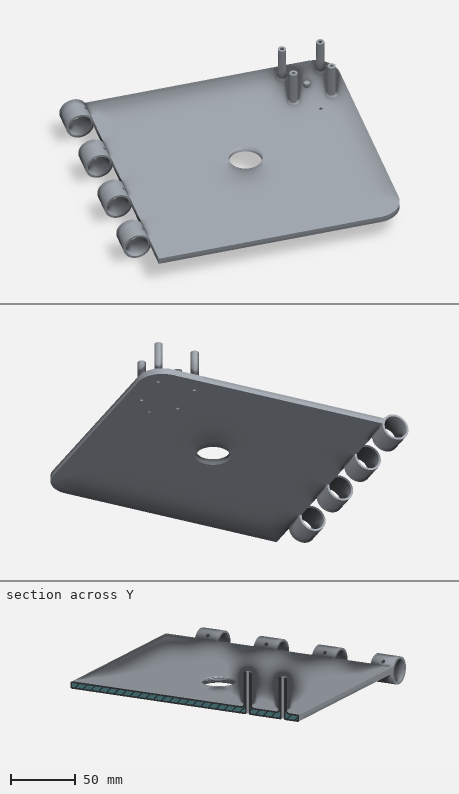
import cadquery as cq

plate_size = 200.0
plate_thickness = 5.0
corner_radius = 20.0

knuckle_outer_diameter = 22.0
knuckle_bore_diameter = 18.5
knuckle_length = 20.0
knuckle_pitch = 51.5
knuckle_count = 4
knuckle_reach = 20.8
knuckle_pin_hole_diameter = 3.3
pin_hole_angle = 44
knuckle_axis_y = knuckle_outer_diameter / 2 - knuckle_reach

plate_bottom = 0.5
plate_top = plate_bottom + plate_thickness

opening_root_diameter = 27.5
opening_crest_diameter = 26.0
groove_count = 5
groove_pitch = plate_thickness / groove_count

overall_height = 45.0
post_top = overall_height - knuckle_outer_diameter / 2
post_height = post_top - plate_top
post_diameter = 6.5
post_hole_diameter = 3.0
post_spacing = 31.0
post_edge_distance = 14.0
foot_diameter = 10.4
foot_height = 1.3

stud_diameter = 4.9
stud_height = 3.3
small_hole_diameter = 2.5
small_hole_x = 59.2
small_hole_back_distance = 27.0

grid_x = post_edge_distance + post_spacing / 2
grid_y = plate_size - grid_x
post_points = [
    (grid_x + side_x * post_spacing / 2, grid_y + side_y * post_spacing / 2)
    for side_x in (-1, 1)
    for side_y in (-1, 1)
]


def cylinder(x, y, bottom, diameter, height):
    """Upright cylinder."""
    return cq.Workplane("XY", origin=(x, y, bottom)).circle(diameter / 2).extrude(height)


def cone(x, y, bottom, bottom_diameter, top_diameter, height):
    """Upright truncated cone."""
    solid = cq.Solid.makeCone(bottom_diameter / 2, top_diameter / 2, height, cq.Vector(x, y, bottom))
    return cq.Workplane(obj=solid)


def make_plate():
    """Plate with rounded back corners and the grooved opening."""
    plate = (
        cq.Workplane("XY", origin=(0, 0, plate_bottom))
        .rect(plate_size, plate_size, centered=False)
        .extrude(plate_thickness)
        .edges("|Z and >Y")
        .fillet(corner_radius)
    )
    middle = plate_size / 2
    for index in range(groove_count):
        turn_bottom = plate_bottom + index * groove_pitch
        turn_middle = turn_bottom + groove_pitch / 2
        lower_half = cone(
            middle, middle, turn_bottom, opening_root_diameter, opening_crest_diameter, groove_pitch / 2
        )
        upper_half = cone(
            middle, middle, turn_middle, opening_crest_diameter, opening_root_diameter, groove_pitch / 2
        )
        plate = plate.cut(lower_half).cut(upper_half)
    return plate


def knuckle_cylinder(start_x, diameter):
    """Cylinder of knuckle length along the hinge axis."""
    plane = cq.Workplane("YZ", origin=(start_x, knuckle_axis_y, 0))
    return plane.circle(diameter / 2).extrude(knuckle_length)


def knuckle_pin_hole(start_x):
    """Hole crossing both walls, sloping down toward the front."""
    axis_point = (start_x + knuckle_length / 2, knuckle_axis_y, 0)
    return (
        cq.Workplane("XY")
        .circle(knuckle_pin_hole_diameter / 2)
        .extrude(knuckle_outer_diameter / 2 + knuckle_pin_hole_diameter, both=True)
        .rotate((0, 0, 0), (1, 0, 0), -pin_hole_angle)
        .translate(axis_point)
    )


result = make_plate()

for index in range(knuckle_count):
    knuckle_start = index * knuckle_pitch
    result = result.union(knuckle_cylinder(knuckle_start, knuckle_outer_diameter))
    result = result.cut(knuckle_cylinder(knuckle_start, knuckle_bore_diameter))
    result = result.cut(knuckle_pin_hole(knuckle_start))

for post_x, post_y in post_points:
    result = result.union(cylinder(post_x, post_y, plate_top, post_diameter, post_height))
    result = result.union(cone(post_x, post_y, plate_top, foot_diameter, post_diameter, foot_height))
    through_height = plate_thickness + post_height
    result = result.cut(cylinder(post_x, post_y, plate_bottom, post_hole_diameter, through_height))

result = result.union(cylinder(grid_x, grid_y, plate_top, stud_diameter, stud_height))

small_hole_y = plate_size - small_hole_back_distance
result = result.cut(
    cylinder(small_hole_x, small_hole_y, plate_bottom, small_hole_diameter, plate_thickness)
)